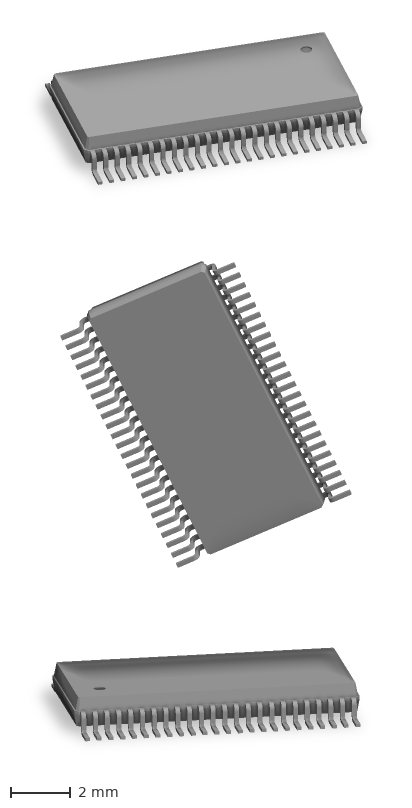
import cadquery as cq
import math

BODY_WIDTH = 4.4
BODY_LENGTH = 9.7
BODY_BOTTOM = 0.2
BODY_TOP = 1.2
CORNER_CHAMFER = 0.13
UPPER_SETBACK = 0.05
UPPER_INSET = 0.09
LOWER_INSET = 0.08

LEAD_SPAN = 6.4
LEADS_PER_SIDE = 24
ROW_LENGTH = 9.2
LEAD_WIDTH = 0.16
LEAD_THICKNESS = 0.11
LEAD_TOP = 0.75
SHANK_SETBACK = 0.7
INNER_BEND_RADIUS = 0.1
LEAD_EMBEDMENT = 0.1

MARKER_DIAMETER = 0.4
MARKER_DEPTH = 0.06
MARKER_X = -1.18
MARKER_Y = 3.83

BAND_TOP = LEAD_TOP
BAND_BOTTOM = LEAD_TOP - LEAD_THICKNESS
LEAD_PITCH = ROW_LENGTH / (LEADS_PER_SIDE - 1)
OUTER_BEND_RADIUS = INNER_BEND_RADIUS + LEAD_THICKNESS


def tapered_block(z_start, height, setback, inset):
    """Chamfered rectangle, moved in by setback, extruded from z_start; negative height goes down."""
    chamfer_leg = CORNER_CHAMFER - (2 - math.sqrt(2)) * setback
    base = (
        cq.Sketch()
        .rect(BODY_WIDTH - 2 * setback, BODY_LENGTH - 2 * setback)
        .vertices()
        .chamfer(chamfer_leg)
    )
    taper_angle = math.degrees(math.atan2(inset, abs(height)))
    return cq.Workplane("XY").workplane(offset=z_start).placeSketch(base).extrude(height, taper=taper_angle)


def make_body():
    band = tapered_block(BAND_BOTTOM, BAND_TOP - BAND_BOTTOM, 0, 0)
    upper = tapered_block(BAND_TOP, BODY_TOP - BAND_TOP, UPPER_SETBACK, UPPER_INSET)
    lower = tapered_block(BAND_BOTTOM, BODY_BOTTOM - BAND_BOTTOM, 0, LOWER_INSET)
    return band.union(upper).union(lower)


def make_lead():
    """One lead on the -X side, centred on Y = 0."""
    toe = -LEAD_SPAN / 2
    shank_outer = toe + SHANK_SETBACK
    shank_inner = shank_outer + LEAD_THICKNESS
    root = -BODY_WIDTH / 2 + LEAD_EMBEDMENT
    profile = (
        cq.Workplane("XZ", origin=(0, LEAD_WIDTH / 2, 0))
        .moveTo(toe, 0)
        .lineTo(shank_inner - OUTER_BEND_RADIUS, 0)
        .radiusArc((shank_inner, OUTER_BEND_RADIUS), -OUTER_BEND_RADIUS)
        .lineTo(shank_inner, BAND_BOTTOM - INNER_BEND_RADIUS)
        .radiusArc((shank_inner + INNER_BEND_RADIUS, BAND_BOTTOM), INNER_BEND_RADIUS)
        .lineTo(root, BAND_BOTTOM)
        .lineTo(root, LEAD_TOP)
        .lineTo(shank_outer + OUTER_BEND_RADIUS, LEAD_TOP)
        .radiusArc((shank_outer, LEAD_TOP - OUTER_BEND_RADIUS), -OUTER_BEND_RADIUS)
        .lineTo(shank_outer, LEAD_THICKNESS + INNER_BEND_RADIUS)
        .radiusArc((shank_outer - INNER_BEND_RADIUS, LEAD_THICKNESS), INNER_BEND_RADIUS)
        .lineTo(toe, LEAD_THICKNESS)
        .close()
    )
    return profile.extrude(LEAD_WIDTH)


def make_leads():
    left_lead = make_lead()
    right_lead = left_lead.mirror("YZ")
    leads = cq.Workplane("XY")
    for index in range(LEADS_PER_SIDE):
        y = index * LEAD_PITCH - ROW_LENGTH / 2
        for lead in (left_lead, right_lead):
            leads = leads.add(lead.translate((0, y, 0)))
    return leads.combine()


def make_marker():
    return (
        cq.Workplane("XY", origin=(MARKER_X, MARKER_Y, BODY_TOP - MARKER_DEPTH))
        .circle(MARKER_DIAMETER / 2)
        .extrude(MARKER_DEPTH)
    )


result = make_body().cut(make_marker()).union(make_leads())